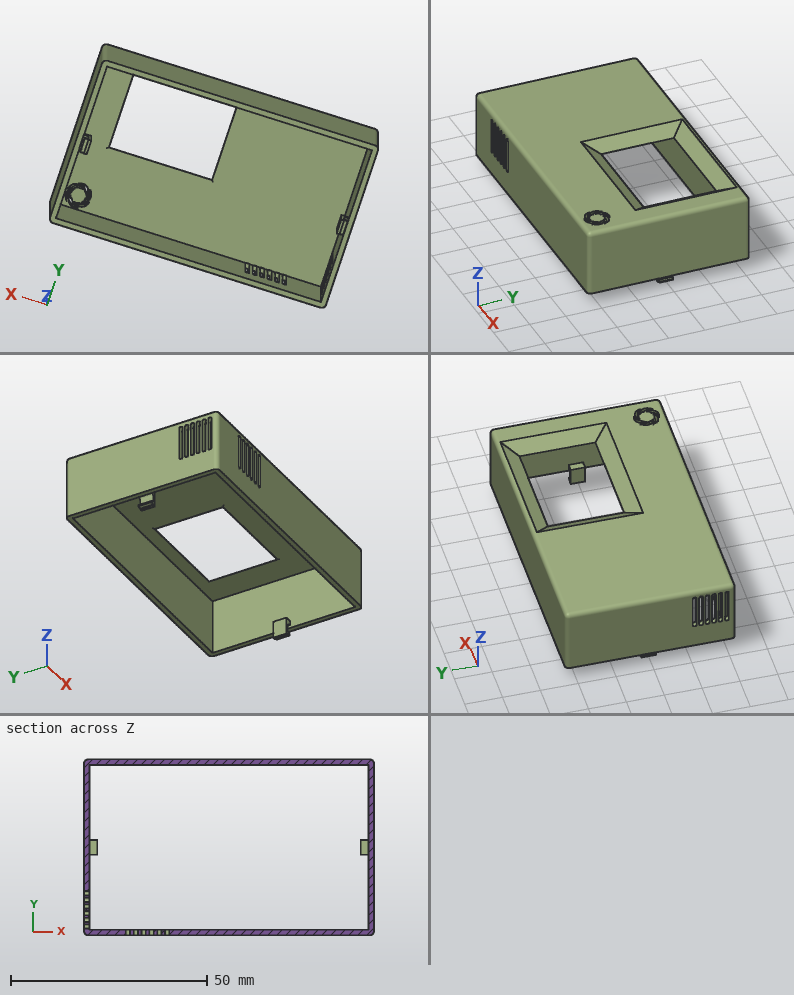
import cadquery as cq
import math

LENGTH = 74.0
WIDTH = 44.9
TOTAL_HEIGHT = 21.1
HEIGHT = 18.2
WALL = 1.5
ROOF = 2.4
EDGE_RADIUS = 1.2

WINDOW_LENGTH = 27.6
WINDOW_WIDTH = 20.05
WINDOW_X = 50.4
WINDOW_Y = 29.6
BEVEL_RUN = 4.0

SLOT_COUNT = 6
SLOT_WIDTH = 1.0
SLOT_HEIGHT = 9.85
SLOT_BOTTOM = 6.5
FRONT_SLOT_START = 11.25
FRONT_SLOT_PITCH = 2.0
SIDE_SLOT_START = 2.3
SIDE_SLOT_PITCH = 1.7

BUTTON_X = 67.7
BUTTON_Y = 5.1
BUTTON_DIAMETER = 4.0
BUTTON_HOLE_DIAMETER = 6.6
ARM_COUNT = 6
ARM_WIDTH = 0.5
ARM_MIDDLE_RADIUS = 2.9
ARM_START_ANGLE = 126.0
ARM_MIDDLE_SWEEP = 45.0
ARM_FULL_SWEEP = 105.0

CLIP_WIDTH = 3.85
CLIP_BOTTOM = HEIGHT - TOTAL_HEIGHT
CLIP_INNER = 3.5
CLIP_THICKNESS = 0.75
CLIP_TOP = 2.0
CLIP_NECK = -0.4
HOOK_REACH = 0.95
HOOK_TOP = -1.85
HOOK_CHAMFER = 0.4
HOOK_TIP_TOP = HOOK_TOP - HOOK_CHAMFER
HOOK_TIP_BOTTOM = -2.5
HOOK_ROOT_BOTTOM = -2.7


def make_shell():
    outer = cq.Workplane("XY").box(LENGTH, WIDTH, HEIGHT, centered=False)
    outer = outer.edges("|Z or >Z").fillet(EDGE_RADIUS)
    cavity = (
        cq.Workplane("XY", origin=(WALL, WALL, 0))
        .box(LENGTH - 2 * WALL, WIDTH - 2 * WALL, HEIGHT - ROOF, centered=False)
    )
    return outer.cut(cavity)


def window_cutter():
    return (
        cq.Workplane("XY", origin=(WINDOW_X, WINDOW_Y, HEIGHT - ROOF))
        .rect(WINDOW_LENGTH, WINDOW_WIDTH)
        .workplane(offset=ROOF)
        .rect(WINDOW_LENGTH + 2 * BEVEL_RUN, WINDOW_WIDTH + 2 * BEVEL_RUN)
        .loft(ruled=True)
    )


def slot_row(plane, start, pitch, depth):
    """A row of round-ended slots, cut to the given depth along the plane's normal."""
    middle = SLOT_BOTTOM + SLOT_HEIGHT / 2
    centres = [(start + i * pitch, middle) for i in range(SLOT_COUNT)]
    return cq.Workplane(plane).pushPoints(centres).slot2D(SLOT_HEIGHT, SLOT_WIDTH, 90).extrude(depth)


def polar(radius, angle):
    """A point given by its radius and its angle in degrees."""
    return (radius * math.cos(math.radians(angle)), radius * math.sin(math.radians(angle)))


def spring_arm(start, base):
    """One curved arm that runs from the button out to the rim of its hole."""

    def edge_points(offset):
        return [
            polar(BUTTON_DIAMETER / 2 - ARM_WIDTH / 2 + offset, start),
            polar(ARM_MIDDLE_RADIUS + offset, start - ARM_MIDDLE_SWEEP),
            polar(BUTTON_HOLE_DIAMETER / 2 + ARM_WIDTH / 2 + offset, start - ARM_FULL_SWEEP),
        ]

    inner_start, inner_middle, inner_end = edge_points(-ARM_WIDTH / 2)
    outer_start, outer_middle, outer_end = edge_points(ARM_WIDTH / 2)
    return (
        base.moveTo(*inner_start)
        .threePointArc(inner_middle, inner_end)
        .lineTo(*outer_end)
        .threePointArc(outer_middle, outer_start)
        .close()
        .extrude(ROOF)
    )


def button_gap_cutter():
    """The ring-shaped gap around the button, less the spring arms that cross it."""
    base = cq.Workplane("XY", origin=(BUTTON_X, BUTTON_Y, HEIGHT - ROOF))
    gap = base.circle(BUTTON_HOLE_DIAMETER / 2).circle(BUTTON_DIAMETER / 2).extrude(ROOF)
    for i in range(ARM_COUNT):
        gap = gap.cut(spring_arm(ARM_START_ANGLE + i * 360 / ARM_COUNT, base))
    return gap


def make_housing():
    return (
        make_shell()
        .cut(window_cutter())
        .cut(slot_row("XZ", FRONT_SLOT_START, FRONT_SLOT_PITCH, -WALL))
        .cut(slot_row("YZ", SIDE_SLOT_START, SIDE_SLOT_PITCH, WALL))
        .cut(button_gap_cutter())
    )


def make_clip(mirrored):
    """A clip on the -X end wall: curved root, thin leg and outward hook; mirrored moves it to the +X end."""
    leg_outer = CLIP_INNER - CLIP_THICKNESS
    hook_tip = leg_outer - HOOK_REACH
    root_radius = leg_outer - WALL
    arc_x, arc_z = polar(root_radius, 45)
    root_middle = (WALL + arc_x, CLIP_NECK + arc_z)
    back_face = WIDTH / 2 + CLIP_WIDTH / 2
    clip = (
        cq.Workplane("XZ", origin=(0, back_face, 0))
        .moveTo(WALL, CLIP_TOP)
        .lineTo(WALL, CLIP_NECK + root_radius)
        .threePointArc(root_middle, (leg_outer, CLIP_NECK))
        .lineTo(leg_outer, HOOK_TOP)
        .lineTo(hook_tip + HOOK_CHAMFER, HOOK_TOP)
        .lineTo(hook_tip, HOOK_TIP_TOP)
        .lineTo(hook_tip, HOOK_TIP_BOTTOM)
        .lineTo(leg_outer, HOOK_ROOT_BOTTOM)
        .lineTo(leg_outer, CLIP_BOTTOM)
        .lineTo(CLIP_INNER, CLIP_BOTTOM)
        .lineTo(CLIP_INNER, CLIP_TOP)
        .close()
        .extrude(CLIP_WIDTH)
    )
    return clip.mirror("YZ", (LENGTH / 2, 0, 0)) if mirrored else clip


housing = make_housing()
clips = [make_clip(mirrored) for mirrored in (False, True)]

result = cq.Compound.makeCompound([housing.val(), *[clip.val() for clip in clips]])